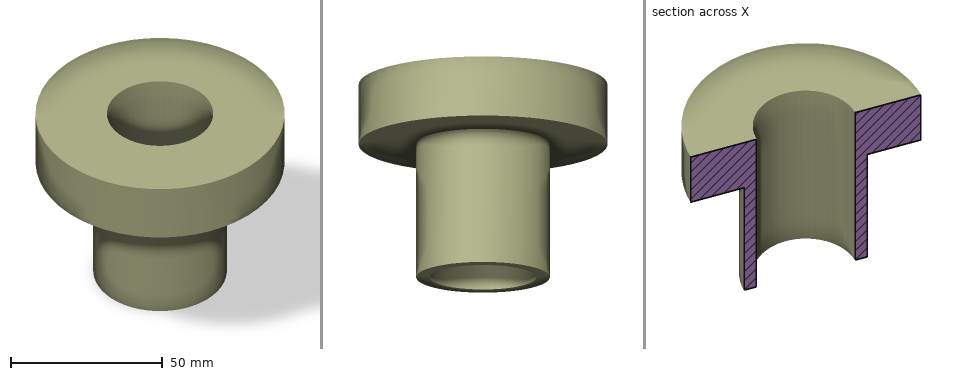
import cadquery as cq

flange_diameter = 82.0
flange_thickness = 20.0
sleeve_diameter = 44.0
bore_diameter = 35.0
total_height = 65.0

sleeve_length = total_height - flange_thickness


def make_sleeve():
    """Solid cylinder standing on Z = 0, below the flange."""
    return cq.Workplane("XY").circle(sleeve_diameter / 2).extrude(sleeve_length)


def add_flange(body):
    """Round flange on the upper end of the sleeve."""
    return body.faces(">Z").workplane().circle(flange_diameter / 2).extrude(flange_thickness)


def cut_bore(body):
    """Straight bore through the flange and the sleeve."""
    return body.faces(">Z").workplane().hole(bore_diameter)


result = cut_bore(add_flange(make_sleeve()))